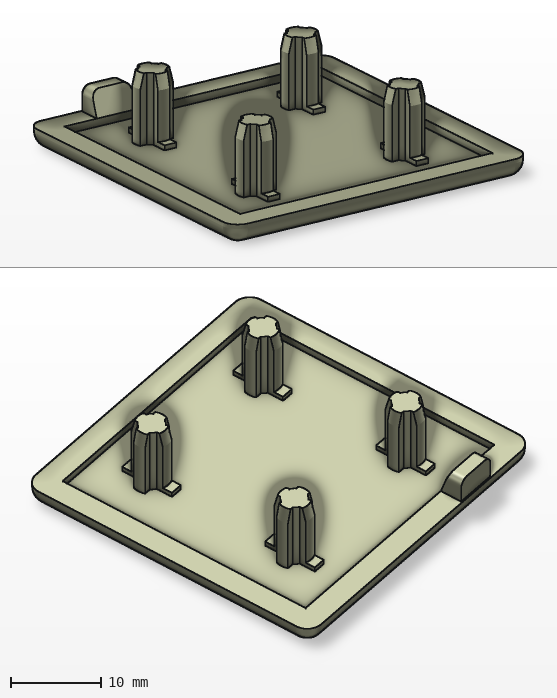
import cadquery as cq

plate_side = 40.0
plate_height = 2.5
corner_radius = 2.0
lower_edge_radius = 1.95

rim_width = 3.0
recess_depth = 0.95

total_height = 10.0
peg_spacing = 20.0
peg_diameter = 4.7
peg_tip_diameter = 3.8
peg_taper_height = 1.8
arm_width = 1.6
core_diameter = 3.1

foot_length = 6.95
foot_height = 0.6

lug_gap = 0.15
lug_width = 5.3
lug_height = 3.1
lug_top_length = 1.75
lug_corner_radius = 1.1

floor_z = plate_height - recess_depth
recess_side = plate_side - 2 * rim_width


def make_plate():
    plate = (
        cq.Workplane("XY")
        .rect(plate_side, plate_side)
        .extrude(plate_height)
        .edges("|Z")
        .fillet(corner_radius)
        .faces("<Z")
        .edges()
        .fillet(lower_edge_radius)
    )
    recess = (
        cq.Workplane("XY", origin=(0, 0, floor_z))
        .rect(recess_side, recess_side)
        .extrude(recess_depth)
    )
    return plate.cut(recess)


def make_peg():
    """Round core with four arms, trimmed to a cylinder with a tapered tip, on a low foot."""
    base = cq.Workplane("XY", origin=(0, 0, floor_z))
    peg_height = total_height - floor_z
    envelope = (
        base.circle(peg_diameter / 2)
        .extrude(peg_height)
        .faces(">Z")
        .chamfer(peg_taper_height, (peg_diameter - peg_tip_diameter) / 2)
    )
    arm_along_x = base.rect(peg_diameter, arm_width).extrude(peg_height)
    arm_along_y = base.rect(arm_width, peg_diameter).extrude(peg_height)
    core = base.circle(core_diameter / 2).extrude(peg_height)
    foot = base.rect(foot_length, arm_width).extrude(foot_height)
    return core.union(arm_along_x).union(arm_along_y).intersect(envelope).union(foot)


def make_lug():
    """Block with a sloped inner face and rounded upper corners."""
    outer_x = -plate_side / 2 + lug_gap
    inner_x = -recess_side / 2
    top_z = plate_height + lug_height
    slope = (
        cq.Workplane("XZ", origin=(0, -peg_spacing / 2 + lug_width / 2, 0))
        .moveTo(outer_x, plate_height)
        .lineTo(inner_x, plate_height)
        .lineTo(outer_x + lug_top_length, top_z)
        .lineTo(outer_x, top_z)
        .close()
        .extrude(lug_width)
    )
    rounded_block = (
        cq.Workplane("XY", origin=(outer_x, -peg_spacing / 2, plate_height))
        .box(inner_x - outer_x, lug_width, lug_height, centered=(False, True, False))
        .edges("|X and >Z")
        .fillet(lug_corner_radius)
    )
    return slope.intersect(rounded_block)


result = make_plate().union(make_lug())
peg = make_peg()
for x_side in (-1, 1):
    for y_side in (-1, 1):
        result = result.union(peg.translate((x_side * peg_spacing / 2, y_side * peg_spacing / 2, 0)))